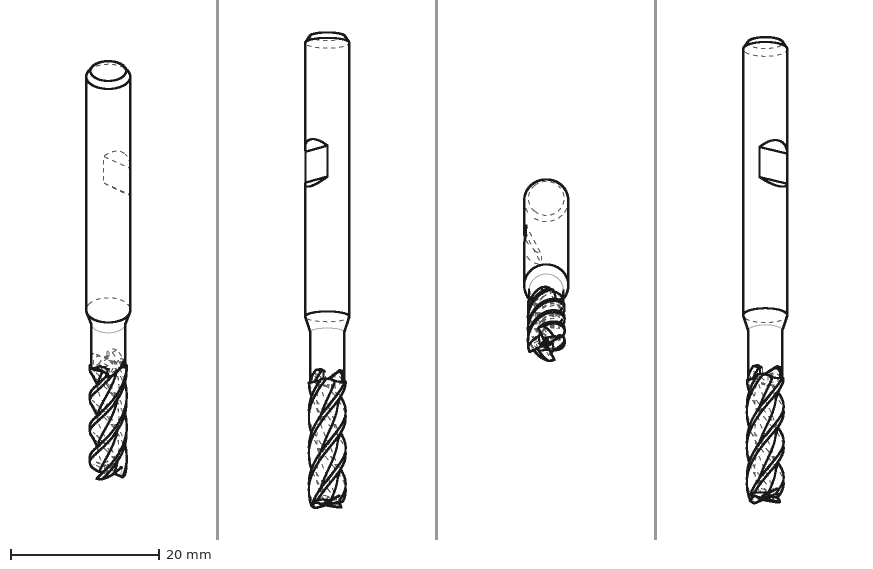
import cadquery as cq
import math

total_length = 65.0
shank_diameter = 6.0
neck_diameter = 4.6
cutter_diameter = 5.0
cutter_length = 16.95
neck_top = 24.0
cone_top = 26.1

shank_chamfer_width = 0.6
shank_chamfer_height = 0.9

flat_distance = 1.9
flat_length = 4.3
flat_center = 47.0

tooth_count = 4
helix_lead = 20.15
start_angle = -2.0
core_radius = 1.4
margin_angle = 17.0
heel_angle = 66.0
back_radius = 1.9
back_angle = 36.0
gullet_radius = 1.75
gullet_angle = 88.0

end_clearance_angle = 13.0
gash_height = 1.05
gash_width = 0.9
gash_lean = 0.6
gash_start = 0.3

runout_height = 1.35
runout_floor = 1.35
runout_angle = 55.0
runout_heel = -1.25
runout_crest = 0.5
runout_wall = 1.5
runout_corner = 0.3

shank_radius = shank_diameter / 2
neck_radius = neck_diameter / 2
cutter_radius = cutter_diameter / 2
tooth_pitch = 360.0 / tooth_count
cutter_twist = 360.0 * cutter_length / helix_lead


def polar(radius, degrees):
    """Point at a radius and angle about the tool axis."""
    angle = math.radians(degrees)
    return (radius * math.cos(angle), radius * math.sin(angle))


def around_axis(body, index):
    """Turn a tooth feature to the tooth with this index."""
    return body.rotate((0, 0, 0), (0, 0, 1), index * tooth_pitch)


def cutter_profile():
    """Cross-section of the four teeth: margin, rounded back and concave gullet."""
    outline = cq.Workplane("XY").moveTo(*polar(cutter_radius, start_angle))
    for tooth in range(tooth_count):
        edge = start_angle + tooth * tooth_pitch
        outline = (
            outline
            .threePointArc(
                polar(cutter_radius, edge + margin_angle / 2),
                polar(cutter_radius, edge + margin_angle),
            )
            .threePointArc(
                polar(back_radius, edge + back_angle),
                polar(core_radius, edge + heel_angle),
            )
            .threePointArc(
                polar(gullet_radius, edge + gullet_angle),
                polar(cutter_radius, edge + tooth_pitch),
            )
        )
    return outline.close()


def end_clearance():
    """Wedge under one tooth end, rising behind its cutting edge."""
    rise = cutter_diameter * math.tan(math.radians(end_clearance_angle))
    return (
        cq.Workplane("YZ")
        .polyline([(0, 0), (cutter_diameter, 0), (cutter_diameter, rise)])
        .close()
        .extrude(cutter_diameter)
    )


def gash():
    """Notch in the end face ahead of the cutting edge on +Y."""
    return (
        cq.Workplane("XZ", origin=(0, gash_start, 0))
        .polyline([(0, 0), (-gash_lean, gash_height), (gash_width, 0)])
        .close()
        .extrude(-cutter_diameter)
    )


def make_cutter():
    """Helical four-tooth cutter with its end teeth ground."""
    cutter = cutter_profile().twistExtrude(cutter_length, cutter_twist)
    for tooth in range(tooth_count):
        cutter = cutter.cut(around_axis(end_clearance(), tooth))
        cutter = cutter.cut(around_axis(gash(), tooth))
    return cutter.solids()


def flute_runout():
    """End of one flute in the neck, under a roof that rises toward the steep wall."""
    middle_angle = start_angle + cutter_twist + runout_angle
    return (
        cq.Workplane("YZ", origin=(runout_floor, 0, cutter_length))
        .polyline([
            (runout_heel, 0),
            (runout_wall, 0),
            (runout_wall, runout_height - runout_corner),
            (runout_wall - runout_corner, runout_height),
            (runout_crest, runout_height),
        ])
        .close()
        .extrude(cutter_radius)
        .rotate((0, 0, 0), (0, 0, 1), middle_angle)
    )


def clamping_flat():
    """Flat on the +Y side of the shank with 45 degree ends."""
    depth = shank_radius - flat_distance
    half_floor = flat_length / 2
    half_mouth = half_floor + depth
    return (
        cq.Workplane("YZ", origin=(-shank_radius, 0, flat_center))
        .polyline([
            (flat_distance, -half_floor),
            (shank_radius, -half_mouth),
            (shank_radius, half_mouth),
            (flat_distance, half_floor),
        ])
        .close()
        .extrude(shank_diameter)
    )


def make_shank():
    """Turned shank and neck with the clamping flat and the flute ends."""
    shank = (
        cq.Workplane("XZ")
        .polyline([
            (0, cutter_length),
            (neck_radius, cutter_length),
            (neck_radius, neck_top),
            (shank_radius, cone_top),
            (shank_radius, total_length - shank_chamfer_height),
            (shank_radius - shank_chamfer_width, total_length),
            (0, total_length),
        ])
        .close()
        .revolve(360, (0, 0, 0), (0, 1, 0))
        .cut(clamping_flat())
    )
    for tooth in range(tooth_count):
        shank = shank.cut(around_axis(flute_runout(), tooth))
    return shank.solids()


cutter = make_cutter()
shank = make_shank()
result = cq.Compound.makeCompound([cutter.val(), shank.val()])